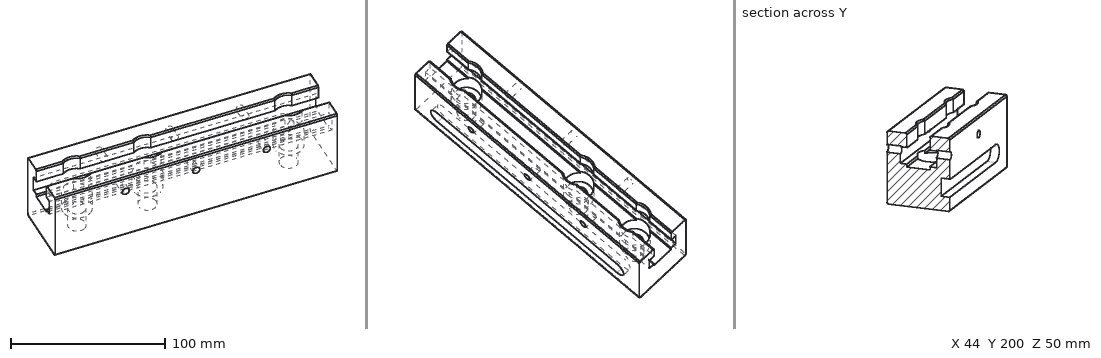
import cadquery as cq

width = 44.0
length = 200.0
height = 50.0
edge_chamfer = 1.0

neck_width = 16.0
neck_depth = 10.0
head_width = 25.0
head_depth = 21.0
relief_depth = 23.0

small_mount_hole_diameter = 12.0
large_mount_hole_diameter = 12.5
mount_hole_diameters = {
    -75.0: small_mount_hole_diameter,
    -25.0: large_mount_hole_diameter,
    75.0: large_mount_hole_diameter,
}
counterbore_diameter = 20.0
counterbore_depth = 35.0

cross_hole_diameter = 5.0
cross_hole_pitch = 50.0
cross_hole_count = 3
cross_hole_z = 38.0

groove_length = 172.0
groove_height = 12.0
groove_depth = 6.0
groove_z = 16.0


def channel(channel_width, depth):
    """Full-length rectangular channel cut down from the top face."""
    return (
        cq.Workplane("XY", origin=(0, 0, height - depth))
        .rect(channel_width, length)
        .extrude(depth)
    )


def t_slot():
    """Neck and relief of one width, crossed by the wider head."""
    head = channel(head_width, head_depth).cut(channel(head_width, neck_depth))
    return channel(neck_width, relief_depth).union(head)


def mount_counterbores():
    """Large bores from the top face down to the screw seats."""
    return (
        cq.Workplane("XY", origin=(0, 0, height - counterbore_depth))
        .pushPoints([(0, y) for y in mount_hole_diameters])
        .circle(counterbore_diameter / 2)
        .extrude(counterbore_depth)
    )


def mount_holes():
    """Clearance bores through the whole height."""
    bores = cq.Workplane()
    for y, diameter in mount_hole_diameters.items():
        bore = cq.Workplane("XY").center(0, y).circle(diameter / 2).extrude(height)
        bores = bores.union(bore)
    return bores


def cross_holes():
    """Row of small bores along X through both side walls, stopping at the T-slot head."""
    through_bores = (
        cq.Workplane("YZ", origin=(-width / 2, 0, cross_hole_z))
        .rarray(cross_hole_pitch, 2, cross_hole_count, 1)
        .circle(cross_hole_diameter / 2)
        .extrude(width)
    )
    return through_bores.cut(channel(head_width, head_depth))


def side_groove():
    """Blind groove sunk into the -X face."""
    return (
        cq.Workplane("YZ", origin=(-width / 2, 0, groove_z))
        .slot2D(groove_length, groove_height)
        .extrude(groove_depth)
    )


block = (
    cq.Workplane("XY")
    .box(width, length, height, centered=(True, True, False))
    .edges("|Y and <Z")
    .chamfer(edge_chamfer)
)

slotted_block = block.cut(t_slot()).cut(mount_counterbores())
top_edges = slotted_block.faces(">Z").edges("not(<Y or >Y)")
slotted_block = top_edges.chamfer(edge_chamfer)

result = slotted_block.cut(mount_holes()).cut(cross_holes()).cut(side_groove())